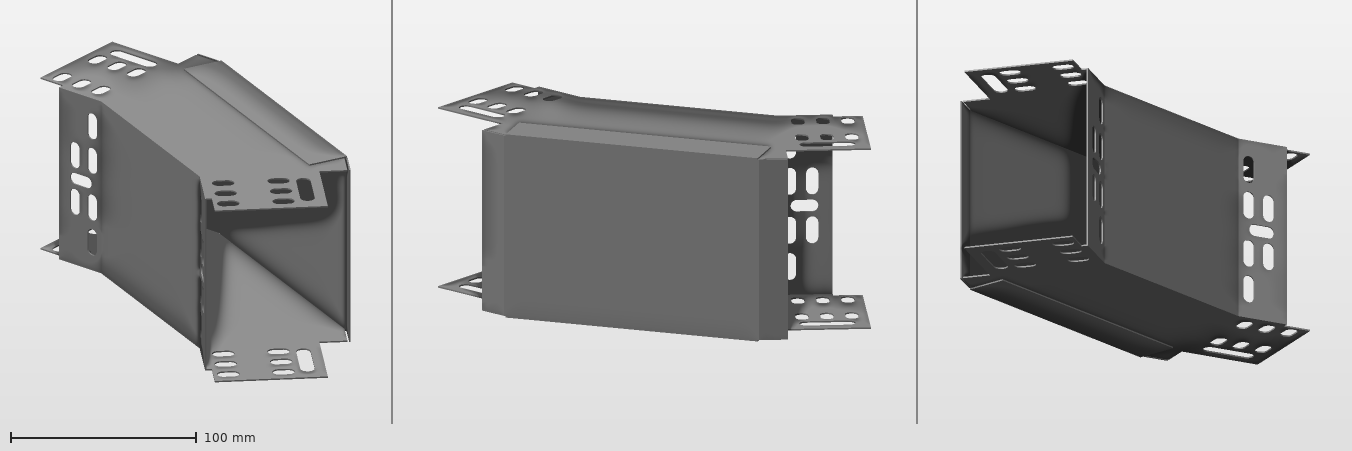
import cadquery as cq
import math

half_length = 122.8
depth = 81.8
channel_height = 101.5
sheet = 0.8
cover_gap = 1.0
bend_angle = 22.5

tongue_end_u = 45.5
tongue_front_v = 3.7
tongue_back_v = 64.9
front_wall_end_u = 29.5
back_end_u = -0.5

lip_half_length = 71.5
lip_width = 23.0

plate_slot_length = 12.0
plate_slot_width = 7.1
plate_slot_first_u = 9.8
plate_slot_pitch = 13.5
plate_slot_columns = 3
plate_slot_rows_v = (11.8, 41.8)
long_slot_length = 30.2
long_slot_width = 7.9
long_slot_u = 22.5
long_slot_v = 55.0

wall_slot_length = 15.2
wall_slot_width = 6.6
inner_column_u = 6.5
outer_column_u = 18.5
low_slot_z = 13.8
high_slot_z = 34.1
cross_slot_length = 15.0

cos_bend = math.cos(math.radians(bend_angle))
sin_bend = math.sin(math.radians(bend_angle))
fold_slope = math.tan(math.radians(bend_angle / 2))
fold_x = half_length - tongue_end_u * cos_bend - tongue_back_v * sin_bend
half_height = channel_height / 2
inner_depth = depth - sheet
plate_depth = inner_depth - cover_gap
cross_slot_u = outer_column_u + wall_slot_width / 2 - cross_slot_length / 2


def wing_point(u, v):
    """Plan position of a point given in the frame of the +X wing."""
    return (fold_x + u * cos_bend + v * sin_bend, v * cos_bend - u * sin_bend)


def fold_point(y):
    """Point on the fold line, which bisects the bend, at distance y from the front face."""
    return (fold_x + y * fold_slope, y)


def symmetric_prism(right_points, bottom_z, height):
    """Prism whose plan outline is the given +X half, front to back, and its mirror image."""
    left_points = [(-x, y) for x, y in reversed(right_points)]
    outline = cq.Workplane("XY").workplane(offset=bottom_z).polyline(right_points + left_points)
    return outline.close().extrude(height)


def wall_band(right_path, inner_right_path):
    """Folded upright wall, as high as the channel, between two +X half paths and their mirrors."""
    left_path = [(-x, y) for x, y in reversed(right_path)]
    inner_left_path = [(-x, y) for x, y in reversed(inner_right_path)]
    outline = left_path + right_path + inner_right_path[::-1] + inner_left_path[::-1]
    return cq.Workplane("XY").workplane(offset=-half_height).polyline(outline).close().extrude(channel_height)


def plate(bottom_z):
    """Flat plate with a narrower tongue at each end."""
    right_points = [
        fold_point(0),
        wing_point(front_wall_end_u, 0),
        wing_point(front_wall_end_u, tongue_front_v),
        wing_point(tongue_end_u, tongue_front_v),
        wing_point(tongue_end_u, tongue_back_v),
        wing_point(back_end_u, tongue_back_v),
        wing_point(back_end_u, plate_depth),
        fold_point(plate_depth),
    ]
    return symmetric_prism(right_points, bottom_z, sheet)


def front_wall():
    """Front wall with its two folded ends."""
    outer_path = [fold_point(0), wing_point(front_wall_end_u, 0)]
    inner_path = [fold_point(sheet), wing_point(front_wall_end_u, sheet)]
    return wall_band(outer_path, inner_path)


def wing_plate_slots():
    """Cutters for the slots through both plates of the +X wing."""
    x, y = wing_point(0, 0)
    wing_plan = cq.Workplane(cq.Plane((x, y, 0), (cos_bend, -sin_bend, 0), (0, 0, 1)))
    columns = [plate_slot_first_u + i * plate_slot_pitch for i in range(plate_slot_columns)]
    positions = [(u, v) for u in columns for v in plate_slot_rows_v]
    small = (
        wing_plan.pushPoints(positions)
        .slot2D(plate_slot_length, plate_slot_width, 90)
        .extrude(channel_height, both=True)
    )
    long = (
        wing_plan.center(long_slot_u, long_slot_v)
        .slot2D(long_slot_length, long_slot_width)
        .extrude(channel_height, both=True)
    )
    return small.union(long)


def wing_wall_slots():
    """Cutters for the slots through the front wall of the +X wing."""
    x, y = wing_point(0, 0)
    wing_face = cq.Workplane(cq.Plane((x, y, 0), (cos_bend, -sin_bend, 0), (-sin_bend, -cos_bend, 0)))
    positions = [
        (u, side * z)
        for u, z in (
            (inner_column_u, low_slot_z),
            (inner_column_u, high_slot_z),
            (outer_column_u, low_slot_z),
        )
        for side in (-1, 1)
    ]
    upright = (
        wing_face.pushPoints(positions)
        .slot2D(wall_slot_length, wall_slot_width, 90)
        .extrude(2 * sheet, both=True)
    )
    crosswise = (
        wing_face.center(cross_slot_u, 0)
        .slot2D(cross_slot_length, wall_slot_width)
        .extrude(2 * sheet, both=True)
    )
    return upright.union(crosswise)


def build_channel():
    """Folded channel: front wall and two plates, slotted at both wings."""
    body = front_wall()
    for bottom_z in (-half_height, half_height - sheet):
        body = body.union(plate(bottom_z))
    for cutter in (wing_plate_slots(), wing_wall_slots()):
        body = body.cut(cutter).cut(cutter.mirror("YZ"))
    return body


def build_cover():
    """Back cover: folded wall closing the channel, with a lip over each plate."""
    outer_path = [fold_point(depth), wing_point(back_end_u, depth)]
    inner_path = [fold_point(inner_depth), wing_point(back_end_u, inner_depth)]
    body = wall_band(outer_path, inner_path)
    for bottom_z in (-half_height - sheet, half_height):
        lip = [(lip_half_length, depth - lip_width), (lip_half_length, depth)]
        body = body.union(symmetric_prism(lip, bottom_z, sheet))
    return body


channel = build_channel()
cover = build_cover()
result = cq.Compound.makeCompound([channel.val(), cover.val()])